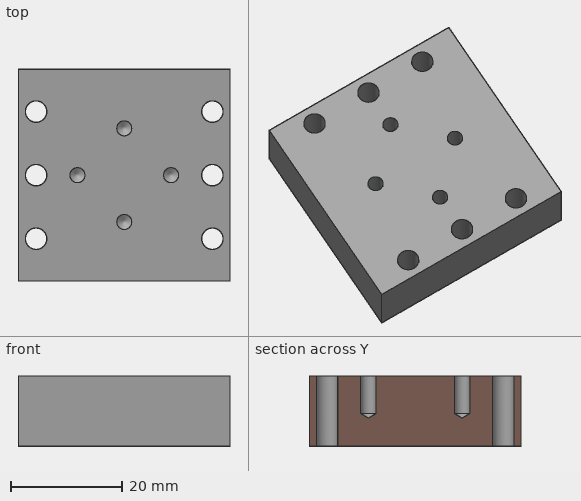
import cadquery as cq
import math

side = 38.1
height = 12.7

through_diameter = 3.8
through_row_x = 15.85
through_pitch_y = 11.43

blind_diameter = 2.7
blind_circle_radius = 8.42
blind_count = 4
blind_depth = 6.75
drill_point_angle = 118.0


def drilled_hole(diameter, depth):
    """Cutter with a conical drill point, its mouth at the origin and running down to -Z."""
    radius = diameter / 2
    point_depth = radius / math.tan(math.radians(drill_point_angle / 2))
    half_profile = (
        cq.Workplane("XZ")
        .moveTo(0, 0)
        .lineTo(radius, 0)
        .lineTo(radius, -depth)
        .lineTo(0, -depth - point_depth)
        .close()
    )
    return half_profile.revolve(360, (0, 0, 0), (0, 1, 0))


block = cq.Workplane("XY").box(side, side, height, centered=(True, True, False))

through_places = [
    (x, y)
    for x in (-through_row_x, through_row_x)
    for y in (-through_pitch_y, 0, through_pitch_y)
]
result = block.faces(">Z").workplane().pushPoints(through_places).hole(through_diameter)

blind_cutter = drilled_hole(blind_diameter, blind_depth).translate((blind_circle_radius, 0, height))
for index in range(blind_count):
    turn = index * 360 / blind_count
    result = result.cut(blind_cutter.rotate((0, 0, 0), (0, 0, 1), turn))